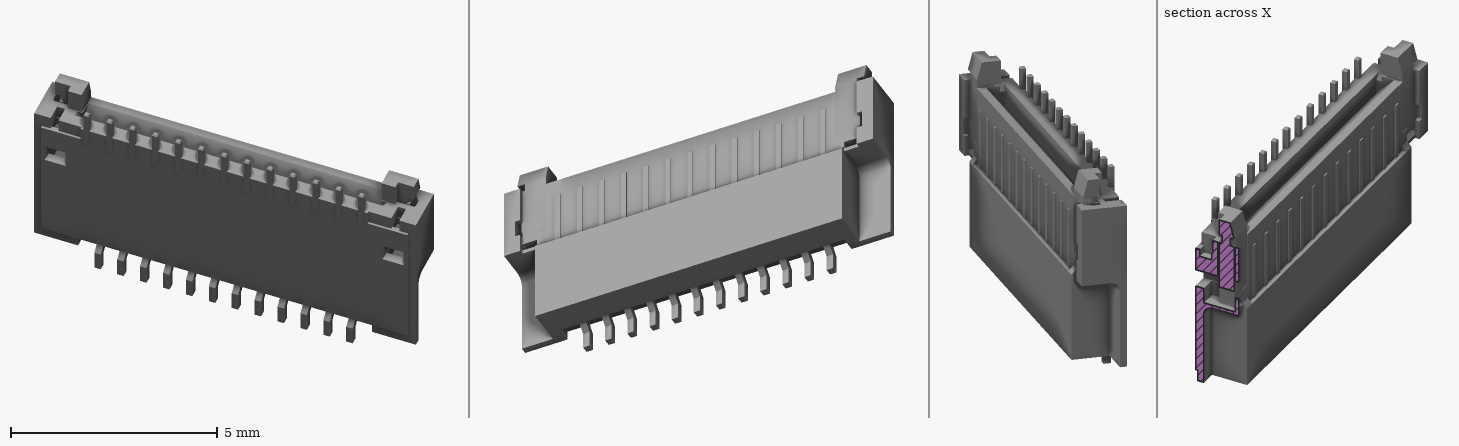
import cadquery as cq
import math

WIDTH = 10.0
HEIGHT = 4.16
FRONT_Y = 0.1
BACK_Y = 1.25
HALF = WIDTH / 2

FLANGE_BACK_Y = 0.28
BODY_HALF = 4.16
TAB_BOTTOM_Z = 2.2
TAB_RADIUS = 0.25
REAR_WALL_Y = 1.13
REAR_NOTCH_OUTER = 4.56
RAMP_INNER = 3.91
RAMP_ANGLE = 50.0
FOOT_HALF = 3.85
FOOT_HEIGHT = 0.3
FOOT_DEPTH_Y = 0.5

PLATE_Y = 0.04
PLATE_HALF = 4.8
PLATE_SIDE_TOP = 3.8
PLATE_CENTRE_HALF = 3.76

SLOT_HALF = 3.91
SLOT_FLARE_HALF = 4.06
SLOT_FRONT_Y = 0.41
SLOT_BACK_Y = 0.55
SLOT_BOTTOM_Z = 1.2
LEAD_IN_BACK_Y = 0.91
LEAD_IN_ANGLE = 45.0

POCKET_OUTER = 4.57
POCKET_INNER = 4.36
POCKET_BACK_Y = 0.52
POCKET_BOTTOM_Z = 3.6
POCKET_PLATE_BACK_Y = 0.17
POCKET_LEDGE_Y = 0.48

WINDOW_OUTER = 4.7
WINDOW_INNER = 4.15
WINDOW_BOTTOM_Z = 2.71
WINDOW_TOP_Z = 3.17

LATCH_TOP_Z = 4.81
LATCH_OUTER = 4.7
LATCH_INNER = 3.93
LATCH_STEP_X = 4.29
LATCH_FRONT_Y = 0.52
LATCH_STEP_Y = 0.7
LATCH_BACK_Y = 1.12
LATCH_TOP_BACK_Y = 1.0
HEAD_BOTTOM_Z = 4.37
NOSE_BOTTOM_Z = 4.22
LEG_OUTER = 4.62
LEG_FRONT_X = 4.49
LEG_FACET_FRONT_Y = 0.83
LEG_FACET_BACK_Y = 0.92
LEG_BOTTOM_Z = 2.5
WELL_OUTER = 4.75
WELL_FRONT_Y = 0.67
WELL_SIDE_BACK_Y = 0.9
WELL_FLOOR_Z = 2.3
LEG_TIP_OUTER = 4.56
LEG_STEP_Z = 2.87
LEG_UPPER_OUTER = 4.59
HOLLOW_OUTER = 4.28
HOLLOW_RADIUS = 0.18

PITCH = 0.6
TOP_PIN_COUNT = 13
TOP_PIN_WIDTH = 0.14
TOP_PIN_BOTTOM_Z = 3.7
TOP_PIN_TOP_Z = 4.72
TOP_PIN_BACK_Y = 0.14
TOP_PIN_CHAMFER = 0.03
CONTACT_BACK_Y = 1.16
CONTACT_TOP_Z = 3.7
FOOT_PIN_COUNT = 12
FOOT_PIN_WIDTH = 0.17
FOOT_PIN_BOTTOM_Z = -0.49
FOOT_PIN_THICKNESS = 0.19
FOOT_PIN_BEND_Z = 0.02
FOOT_PIN_BEND = 45.0


def box(x0, x1, y0, y1, z0, z1):
    """Axis-aligned block between opposite corners."""
    return cq.Workplane("XY").box(x1 - x0, y1 - y0, z1 - z0, centered=False).translate((x0, y0, z0))


def extrude_along_x(profile, x0, x1):
    """Extrude a YZ outline between two X positions."""
    return profile.extrude(x1 - x0).translate((x0, 0, 0))


def yz_prism(points, x0, x1):
    return extrude_along_x(cq.Workplane("YZ").polyline(points).close(), x0, x1)


def both_sides(solid):
    """The solid together with its mirror image across X = 0."""
    return solid.union(solid.mirror("YZ"))


def make_housing():
    side_profile = (
        cq.Workplane("YZ")
        .moveTo(FRONT_Y, 0)
        .lineTo(FLANGE_BACK_Y, 0)
        .lineTo(FLANGE_BACK_Y, TAB_BOTTOM_Z - TAB_RADIUS)
        .radiusArc((FLANGE_BACK_Y + TAB_RADIUS, TAB_BOTTOM_Z), TAB_RADIUS)
        .lineTo(BACK_Y, TAB_BOTTOM_Z)
        .lineTo(BACK_Y, HEIGHT)
        .lineTo(FRONT_Y, HEIGHT)
        .close()
    )
    housing = extrude_along_x(side_profile, -HALF, HALF)
    housing = housing.cut(
        box(-REAR_NOTCH_OUTER, REAR_NOTCH_OUTER, REAR_WALL_Y, BACK_Y, 0, HEIGHT)
    )
    housing = housing.union(box(-BODY_HALF, BODY_HALF, FRONT_Y, BACK_Y, 0, TAB_BOTTOM_Z))
    ramp_rise = (BACK_Y - REAR_WALL_Y) * math.tan(math.radians(RAMP_ANGLE))
    ramp_points = [
        (REAR_WALL_Y, TAB_BOTTOM_Z),
        (BACK_Y, TAB_BOTTOM_Z),
        (REAR_WALL_Y, TAB_BOTTOM_Z + ramp_rise),
    ]
    housing = housing.union(both_sides(yz_prism(ramp_points, RAMP_INNER, BODY_HALF)))
    return housing.cut(box(-FOOT_HALF, FOOT_HALF, 0, FOOT_DEPTH_Y, 0, FOOT_HEIGHT))


def make_plate():
    wide = box(-PLATE_HALF, PLATE_HALF, PLATE_Y, FRONT_Y, FOOT_HEIGHT, PLATE_SIDE_TOP)
    centre = box(-PLATE_CENTRE_HALF, PLATE_CENTRE_HALF, PLATE_Y, FRONT_Y, FOOT_HEIGHT, HEIGHT)
    return wide.union(centre)


def make_cable_slot():
    slot = box(-SLOT_HALF, SLOT_HALF, SLOT_FRONT_Y, SLOT_BACK_Y, SLOT_BOTTOM_Z, HEIGHT)
    slope = math.tan(math.radians(LEAD_IN_ANGLE))
    rear_depth = (LEAD_IN_BACK_Y - SLOT_BACK_Y) * slope
    rear_points = [
        (SLOT_BACK_Y, HEIGHT),
        (LEAD_IN_BACK_Y, HEIGHT),
        (SLOT_BACK_Y, HEIGHT - rear_depth),
    ]
    rear_lead_in = yz_prism(rear_points, -SLOT_HALF, SLOT_HALF)
    end_depth = (SLOT_FLARE_HALF - SLOT_HALF) * slope
    end_lead_ins = (
        cq.Workplane("XZ", origin=(0, SLOT_BACK_Y, 0))
        .moveTo(-SLOT_FLARE_HALF, HEIGHT)
        .lineTo(SLOT_FLARE_HALF, HEIGHT)
        .lineTo(SLOT_HALF, HEIGHT - end_depth)
        .lineTo(-SLOT_HALF, HEIGHT - end_depth)
        .close()
        .extrude(SLOT_BACK_Y - SLOT_FRONT_Y)
    )
    return slot.union(rear_lead_in).union(end_lead_ins)


def make_corner_pockets():
    points = [
        (PLATE_Y, HEIGHT),
        (PLATE_Y, PLATE_SIDE_TOP),
        (POCKET_PLATE_BACK_Y, PLATE_SIDE_TOP),
        (POCKET_PLATE_BACK_Y, POCKET_BOTTOM_Z),
        (POCKET_LEDGE_Y, POCKET_BOTTOM_Z),
        (POCKET_LEDGE_Y, PLATE_SIDE_TOP),
        (POCKET_BACK_Y, PLATE_SIDE_TOP),
        (POCKET_BACK_Y, HEIGHT),
    ]
    return both_sides(yz_prism(points, POCKET_INNER, POCKET_OUTER))


def make_latch_wells():
    """Clearance around the latch legs, reaching below the windows."""
    points = [
        (LATCH_INNER, WELL_FRONT_Y),
        (LATCH_OUTER, WELL_FRONT_Y),
        (WELL_OUTER, LATCH_STEP_Y),
        (WELL_OUTER, WELL_SIDE_BACK_Y),
        (REAR_NOTCH_OUTER, REAR_WALL_Y),
        (LATCH_INNER, REAR_WALL_Y),
    ]
    upper = (
        cq.Workplane("XY", origin=(0, 0, WINDOW_BOTTOM_Z))
        .polyline(points)
        .close()
        .extrude(HEIGHT - WINDOW_BOTTOM_Z)
    )
    lower = box(
        BODY_HALF, WINDOW_OUTER, FLANGE_BACK_Y, REAR_WALL_Y, WELL_FLOOR_Z, WINDOW_BOTTOM_Z
    )
    return both_sides(upper.union(lower))


def make_windows():
    return both_sides(
        box(WINDOW_INNER, WINDOW_OUTER, PLATE_Y, BACK_Y, WINDOW_BOTTOM_Z, WINDOW_TOP_Z)
    )


def make_latches():
    head_points = [
        (LATCH_STEP_Y, HEAD_BOTTOM_Z),
        (LATCH_BACK_Y, HEAD_BOTTOM_Z),
        (LATCH_TOP_BACK_Y, LATCH_TOP_Z),
        (LATCH_STEP_Y, LATCH_TOP_Z),
    ]
    head = yz_prism(head_points, LATCH_INNER, LATCH_OUTER)
    nose = box(
        LATCH_INNER, LATCH_STEP_X, LATCH_FRONT_Y, LATCH_STEP_Y, NOSE_BOTTOM_Z, LATCH_TOP_Z
    )
    neck_points = [
        (LATCH_INNER, LATCH_STEP_Y),
        (LEG_FRONT_X, LATCH_STEP_Y),
        (LEG_OUTER, LEG_FACET_FRONT_Y),
        (LEG_OUTER, LEG_FACET_BACK_Y),
        (LEG_FRONT_X, LATCH_BACK_Y),
        (LATCH_INNER, LATCH_BACK_Y),
    ]
    neck = (
        cq.Workplane("XY")
        .workplane(offset=HEIGHT)
        .polyline(neck_points)
        .close()
        .extrude(HEAD_BOTTOM_Z - HEIGHT)
    )
    leg = box(
        LATCH_INNER, LEG_UPPER_OUTER, LATCH_STEP_Y, LATCH_BACK_Y, LEG_STEP_Z, HEIGHT
    ).union(
        box(LATCH_INNER, LEG_TIP_OUTER, LATCH_STEP_Y, LATCH_BACK_Y, LEG_BOTTOM_Z, LEG_STEP_Z)
    )
    hollow = extrude_along_x(
        cq.Workplane("YZ").center(LATCH_STEP_Y, WINDOW_BOTTOM_Z).circle(HOLLOW_RADIUS),
        WINDOW_INNER,
        HOLLOW_OUTER,
    )
    return both_sides(head.union(nose).union(neck).union(leg.cut(hollow)))


def row(pin, count):
    """Copies of a pin spaced at the pitch and centred on X = 0."""
    pins = cq.Workplane("XY")
    for index in range(count):
        pins = pins.add(pin.translate(((index - (count - 1) / 2) * PITCH, 0, 0)))
    return pins


def make_top_pins():
    half = TOP_PIN_WIDTH / 2
    pin = box(-half, half, 0, TOP_PIN_BACK_Y, TOP_PIN_BOTTOM_Z, TOP_PIN_TOP_Z)
    pin = pin.faces(">Z").chamfer(TOP_PIN_CHAMFER)
    return row(pin, TOP_PIN_COUNT)


def make_rear_contacts():
    half = TOP_PIN_WIDTH / 2
    contact = box(-half, half, LEAD_IN_BACK_Y, CONTACT_BACK_Y, TAB_BOTTOM_Z, CONTACT_TOP_Z)
    return row(contact, TOP_PIN_COUNT)


def make_foot_pins():
    slope = math.tan(math.radians(FOOT_PIN_BEND))
    back_bend_z = FOOT_PIN_BEND_Z - FOOT_PIN_THICKNESS * math.tan(math.radians(FOOT_PIN_BEND / 2))
    points = [
        (0, FOOT_PIN_BOTTOM_Z),
        (FOOT_PIN_THICKNESS, FOOT_PIN_BOTTOM_Z),
        (FOOT_PIN_THICKNESS, back_bend_z),
        (FOOT_DEPTH_Y, back_bend_z + (FOOT_DEPTH_Y - FOOT_PIN_THICKNESS) * slope),
        (FOOT_DEPTH_Y, FOOT_PIN_BEND_Z + FOOT_DEPTH_Y * slope),
        (0, FOOT_PIN_BEND_Z),
    ]
    pin = yz_prism(points, -FOOT_PIN_WIDTH / 2, FOOT_PIN_WIDTH / 2)
    return row(pin, FOOT_PIN_COUNT)


result = make_housing().union(make_plate())
cavities = (make_cable_slot(), make_corner_pockets(), make_windows(), make_latch_wells())
for cavity in cavities:
    result = result.cut(cavity)
additions = (make_latches(), make_top_pins(), make_rear_contacts(), make_foot_pins())
for addition in additions:
    for solid in addition.solids().vals():
        result = result.union(cq.Workplane(solid))